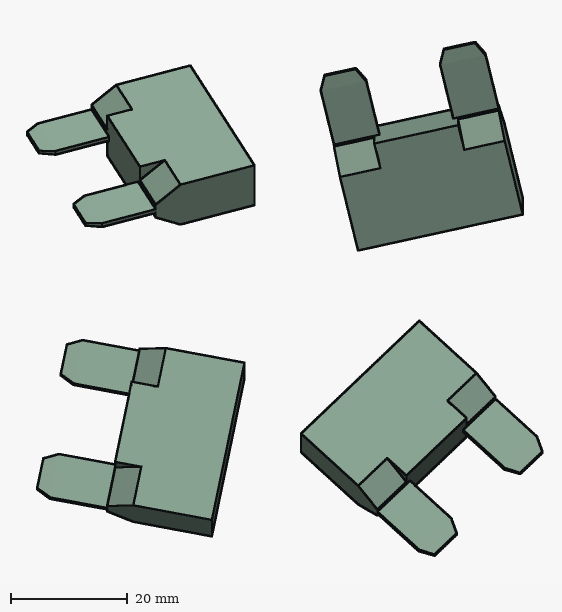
import cadquery as cq

width = 28.95
length = 30.75
height = 8.88

housing_depth = 18.3
corner_width = 7.1
bevel_length = 4.58
bevel_drop = 3.0

blade_width = 8.0
blade_thickness = 0.85
tip_thickness = 0.6
tip_length = 2.52
tip_inset = 1.25

front_y = -length / 2
back_y = length / 2
housing_front_y = back_y - housing_depth
tip_start_y = front_y + tip_length


def make_housing():
    """Plain rectangular block at the back of the part."""
    centre_y = back_y - housing_depth / 2
    return cq.Workplane("XY").box(width, housing_depth, height).translate((0, centre_y, 0))


def make_corner_bevel(left_x, side):
    """Wedge removed from a front corner; side is 1 for the top and -1 for the bottom."""
    return (
        cq.Workplane("YZ", origin=(left_x, 0, 0))
        .moveTo(housing_front_y, side * height / 2)
        .lineTo(housing_front_y + bevel_length, side * height / 2)
        .lineTo(housing_front_y, side * (height / 2 - bevel_drop))
        .close()
        .extrude(corner_width)
    )


def make_blade(left_x):
    """Flat blade whose tip narrows in width and in thickness."""
    right_x = left_x + blade_width
    plan = (
        cq.Workplane("XY", origin=(0, 0, -blade_thickness / 2))
        .moveTo(left_x, housing_front_y)
        .lineTo(left_x, tip_start_y)
        .lineTo(left_x + tip_inset, front_y)
        .lineTo(right_x - tip_inset, front_y)
        .lineTo(right_x, tip_start_y)
        .lineTo(right_x, housing_front_y)
        .close()
        .extrude(blade_thickness)
    )
    profile = (
        cq.Workplane("YZ", origin=(left_x, 0, 0))
        .moveTo(housing_front_y, blade_thickness / 2)
        .lineTo(tip_start_y, blade_thickness / 2)
        .lineTo(front_y, tip_thickness / 2)
        .lineTo(front_y, -tip_thickness / 2)
        .lineTo(tip_start_y, -blade_thickness / 2)
        .lineTo(housing_front_y, -blade_thickness / 2)
        .close()
        .extrude(blade_width)
    )
    return plan.intersect(profile)


result = make_housing()

for corner_left_x in (-width / 2, width / 2 - corner_width):
    for bevel_side in (1, -1):
        result = result.cut(make_corner_bevel(corner_left_x, bevel_side))

for blade_left_x in (-width / 2, width / 2 - blade_width):
    result = result.union(make_blade(blade_left_x))